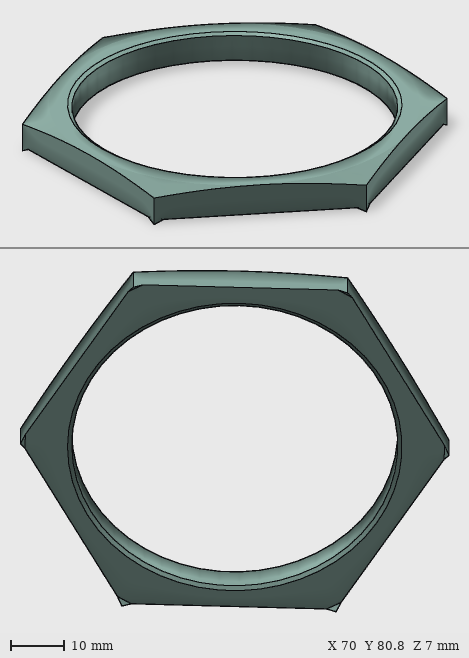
import cadquery as cq
import math

across_corners = 80.8
height = 7.0
bore_radius = 30.7
bore_chamfer_width = 0.8
bore_chamfer_angle = 30.0
top_chamfer_angle = 15.0
recess_depth = 1.0
recess_floor_radius = 39.5

corner_radius = across_corners / 2
flat_radius = corner_radius * math.cos(math.radians(30))
top_chamfer_drop = (corner_radius - flat_radius) * math.tan(math.radians(top_chamfer_angle))
bore_chamfer_drop = bore_chamfer_width * math.tan(math.radians(bore_chamfer_angle))
recess_z = recess_depth


def turned_blank():
    """Revolve the ring: conical top, bore chamfered at both ends, and flared recess underneath."""
    profile = [
        (bore_radius, recess_z + bore_chamfer_drop),
        (bore_radius + bore_chamfer_width, recess_z),
        (recess_floor_radius, recess_z),
        (corner_radius, 0),
        (corner_radius, height - top_chamfer_drop),
        (flat_radius, height),
        (bore_radius + bore_chamfer_width, height),
        (bore_radius, height - bore_chamfer_drop),
    ]
    return cq.Workplane("XZ").polyline(profile).close().revolve(360, (0, 0), (0, 1))


def hexagon():
    """Hexagonal prism with two corners on the Y axis."""
    prism = cq.Workplane("XY").polygon(6, across_corners).extrude(height)
    return prism.rotate((0, 0, 0), (0, 0, 1), 30)


result = turned_blank().intersect(hexagon())